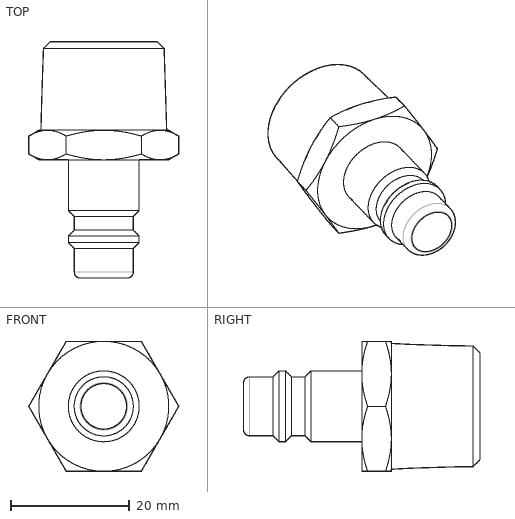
import cadquery as cq
import math

length = 40.0
bore_radius = 3.85

plug_radius = 6.0
neck_radius = 5.0
tip_round = 1.0
collar_start = 5.0
collar_ramp = 1.0
collar_land = 1.1
shank_start = 11.4

hex_across_flats = 22.0
hex_start = 20.0
hex_width = 5.0
hex_chamfer_angle = 30.0

gauge_station = 30.8
gauge_radius = 10.5
taper_slope = 1 / 32
end_chamfer = 1.2

hex_end = hex_start + hex_width
hex_corner_radius = hex_across_flats / math.sqrt(3)


def taper_radius(station):
    return gauge_radius - (station - gauge_station) * taper_slope


def make_plug():
    land_start = collar_start + collar_ramp
    land_end = land_start + collar_land
    profile = (
        cq.Workplane("XY")
        .lineTo(neck_radius - tip_round, 0)
        .radiusArc((neck_radius, tip_round), -tip_round)
        .lineTo(neck_radius, collar_start)
        .lineTo(plug_radius, land_start)
        .lineTo(plug_radius, land_end)
        .lineTo(neck_radius, land_end + collar_ramp)
        .lineTo(neck_radius, shank_start - collar_ramp)
        .lineTo(plug_radius, shank_start)
        .lineTo(plug_radius, hex_end)
        .lineTo(0, hex_end)
        .close()
    )
    return profile.revolve(360, (0, 0, 0), (0, 1, 0))


def make_hexagon():
    prism = (
        cq.Workplane("XZ", origin=(0, hex_start, 0))
        .polygon(6, 2 * hex_corner_radius)
        .extrude(-hex_width)
    )
    face_radius = hex_across_flats / 2
    chamfer_depth = (hex_corner_radius - face_radius) * math.tan(math.radians(hex_chamfer_angle))
    envelope = (
        cq.Workplane("XY")
        .moveTo(0, hex_start)
        .lineTo(face_radius, hex_start)
        .lineTo(hex_corner_radius, hex_start + chamfer_depth)
        .lineTo(hex_corner_radius, hex_end - chamfer_depth)
        .lineTo(face_radius, hex_end)
        .lineTo(0, hex_end)
        .close()
        .revolve(360, (0, 0, 0), (0, 1, 0))
    )
    return prism.intersect(envelope)


def make_pipe_end():
    chamfer_start = length - end_chamfer
    chamfer_radius = taper_radius(chamfer_start)
    profile = (
        cq.Workplane("XY")
        .moveTo(0, hex_start)
        .lineTo(plug_radius, hex_start)
        .lineTo(plug_radius, hex_end)
        .lineTo(taper_radius(hex_end), hex_end)
        .lineTo(chamfer_radius, chamfer_start)
        .lineTo(chamfer_radius - end_chamfer, length)
        .lineTo(0, length)
        .close()
    )
    return profile.revolve(360, (0, 0, 0), (0, 1, 0))


bore = cq.Workplane("XZ").circle(bore_radius).extrude(-length)

result = make_plug().union(make_hexagon()).union(make_pipe_end()).cut(bore)